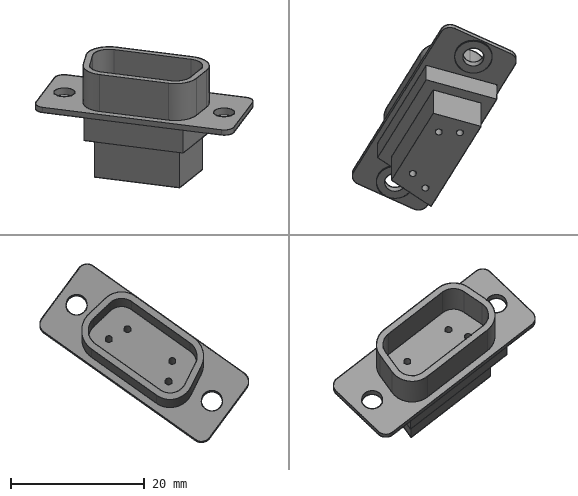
import cadquery as cq
import math

FLANGE_LENGTH = 31.0
FLANGE_WIDTH = 12.5
FLANGE_THICKNESS = 0.87
FLANGE_CORNER_RADIUS = 1.52

SCREW_OFFSET = 12.5
SCREW_HOLE_DIAMETER = 3.13
BOSS_DIAMETER = 5.6
BOSS_HEIGHT = 0.28

SIDE_SLOPE = math.tan(math.radians(10))

SHELL_MEAN_WIDTH = 18.5
SHELL_DEPTH = 10.4
SHELL_HEIGHT = 6.05
SHELL_CORNER_RADIUS = 3.5
SHELL_WALL = 1.0

UPPER_BODY_MEAN_WIDTH = 17.45
UPPER_BODY_DEPTH = 10.95
UPPER_BODY_HEIGHT = 4.1
LOWER_BODY_MEAN_WIDTH = 14.65
LOWER_BODY_DEPTH = 7.4
LOWER_BODY_HEIGHT = 6.6

CONTACT_PITCH = 2.75
CONTACT_ROW_SPACING = 2.85
CONTACT_HOLE_DIAMETER = 1.02

FLANGE_BOTTOM = -FLANGE_THICKNESS
UPPER_BODY_BOTTOM = FLANGE_BOTTOM - UPPER_BODY_HEIGHT
LOWER_BODY_BOTTOM = UPPER_BODY_BOTTOM - LOWER_BODY_HEIGHT
SCREW_POINTS = [(-SCREW_OFFSET, 0), (SCREW_OFFSET, 0)]


def d_block(mean_width, depth, height, bottom):
    """Trapezoidal prism, wide toward +Y, standing on Z = bottom."""
    half_depth = depth / 2
    wide = mean_width / 2 + half_depth * SIDE_SLOPE
    narrow = mean_width / 2 - half_depth * SIDE_SLOPE
    corners = [
        (-narrow, -half_depth),
        (narrow, -half_depth),
        (wide, half_depth),
        (-wide, half_depth),
    ]
    return cq.Workplane("XY").workplane(offset=bottom).polyline(corners).close().extrude(height)


def make_flange():
    plate = (
        cq.Workplane("XY")
        .workplane(offset=FLANGE_BOTTOM)
        .rect(FLANGE_LENGTH, FLANGE_WIDTH)
        .extrude(FLANGE_THICKNESS)
        .edges("|Z")
        .fillet(FLANGE_CORNER_RADIUS)
    )
    bosses = (
        cq.Workplane("XY")
        .workplane(offset=FLANGE_BOTTOM - BOSS_HEIGHT)
        .pushPoints(SCREW_POINTS)
        .circle(BOSS_DIAMETER / 2)
        .extrude(BOSS_HEIGHT)
    )
    return plate.union(bosses)


def make_shell():
    """Open-topped rounded wall of constant thickness."""
    outer = d_block(SHELL_MEAN_WIDTH, SHELL_DEPTH, SHELL_HEIGHT, 0)
    outer = outer.edges("|Z").fillet(SHELL_CORNER_RADIUS)
    cavity = outer.faces("<Z").wires().toPending().offset2D(-SHELL_WALL).extrude(SHELL_HEIGHT, combine=False)
    return outer.cut(cavity)


def make_body():
    upper = d_block(UPPER_BODY_MEAN_WIDTH, UPPER_BODY_DEPTH, UPPER_BODY_HEIGHT, UPPER_BODY_BOTTOM)
    lower = d_block(LOWER_BODY_MEAN_WIDTH, LOWER_BODY_DEPTH, LOWER_BODY_HEIGHT, LOWER_BODY_BOTTOM)
    return upper.union(lower)


def through_holes(points, diameter):
    """Cylinders running from the underside of the body to the flange top."""
    return (
        cq.Workplane("XY")
        .workplane(offset=LOWER_BODY_BOTTOM)
        .pushPoints(points)
        .circle(diameter / 2)
        .extrude(-LOWER_BODY_BOTTOM)
    )


row_y = CONTACT_ROW_SPACING / 2
contact_points = []
for side in (-1, 1):
    contact_points.append((side * 2 * CONTACT_PITCH, row_y))
    contact_points.append((side * 1.5 * CONTACT_PITCH, -row_y))

result = make_flange().union(make_body()).union(make_shell())
result = result.cut(through_holes(SCREW_POINTS, SCREW_HOLE_DIAMETER))
result = result.cut(through_holes(contact_points, CONTACT_HOLE_DIAMETER))